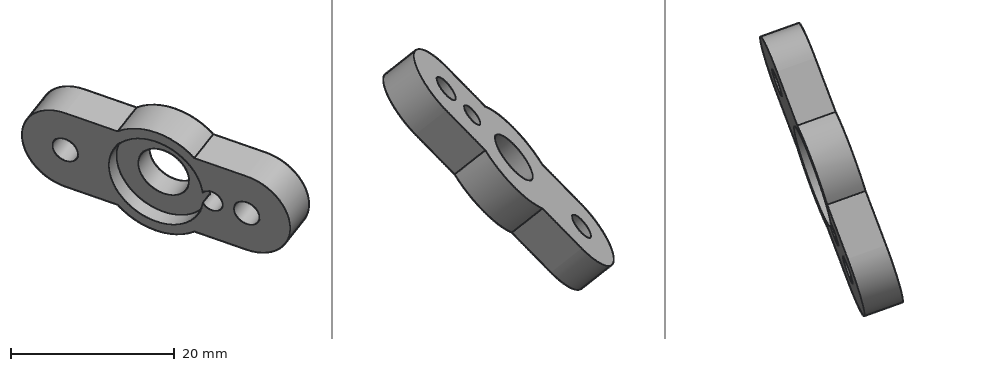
import cadquery as cq

length = 37.0
thickness = 5.0
plate_height = 12.0

hub_diameter = 16.0
bore_diameter = 7.0
recess_diameter = 13.0
recess_depth = 2.0

mount_diameter = 3.5
mount_offset = (length - plate_height) / 2
pin_diameter = 3.0
pin_offset = 7.7


def cylinder(diameter, depth, x=0.0):
    """Cylinder along Y, starting on the front face at the given X."""
    return cq.Workplane("XZ").center(x, 0).circle(diameter / 2).extrude(-depth)


body = cq.Workplane("XZ").slot2D(length, plate_height).extrude(-thickness)
body = body.union(cylinder(hub_diameter, thickness))

body = body.cut(cylinder(recess_diameter, recess_depth))
body = body.cut(cylinder(bore_diameter, thickness))

for x in (-mount_offset, mount_offset):
    body = body.cut(cylinder(mount_diameter, thickness, x))

body = body.cut(cylinder(pin_diameter, thickness, pin_offset))

result = body